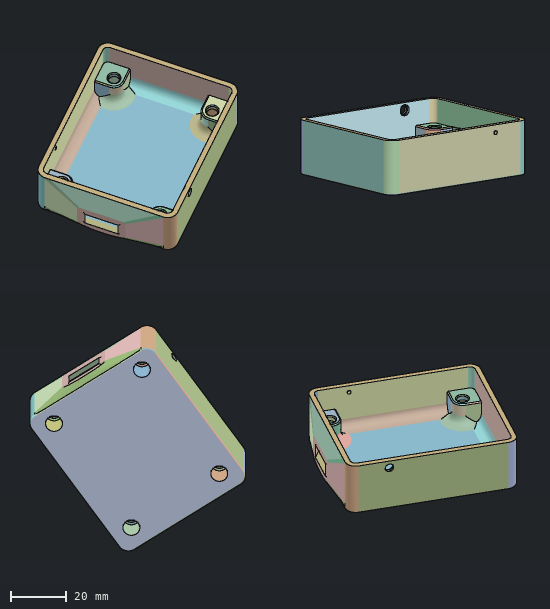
import cadquery as cq
import math

box_width = 53.75
box_height = 20.0
overall_length = 66.3
nose_depth = 2.45
box_back = overall_length / 2
nose_front = -overall_length / 2
box_front = nose_front + nose_depth

wall = 2.0
outer_corner_radius = 4.0
inner_corner_radius = outer_corner_radius - wall
floor_fillet = 4.0
bottom_edge_fillet = 0.45
front_undercut = 0.45

boss_radius = 4.0
boss_top = 11.0
boss_top_chamfer = 0.45
hole_inset = 7.9
hole_inset_at_nose = 6.5
boss_hole_x = box_width / 2 - hole_inset
back_hole_y = box_back - hole_inset
front_hole_y = box_front + hole_inset_at_nose
screw_radius = 4.2 / 2
screw_chamfer = 0.4
head_radius = 6.0 / 2
head_seat_thickness = 2.0

belly_steps = 16

root_half_width = box_width / 2 - outer_corner_radius
root_side_bottom = 2.3
root_belly_drop = root_side_bottom - bottom_edge_fillet
root_bevel = (2.05, 0.85)
root_squareness = 7

tip_half_width = 9.3
tip_top = 12.25
tip_side_bottom = 3.45
tip_belly_drop = 2.05
tip_bevel = (0.8, 0.65)
tip_squareness = 2

slot_width = 12.8
slot_bottom = 4.1
slot_top = 9.4
slot_side_flare = 4.3
slot_top_flare = 1.7
slot_bottom_flare = 0.2

cross_hole_y = -15.25
cross_hole_z = 17.15
small_hole_diameter = 1.4
large_hole_diameter = 3.1
recess_diameter = 4.0
recess_depth = 1.0


def upright_block(width, front, back, radius, bottom, top):
    """Block centred on X with rounded vertical edges."""
    return (
        cq.Workplane("XY", origin=(0, (front + back) / 2, bottom))
        .rect(width, back - front)
        .extrude(top - bottom)
        .edges("|Z")
        .fillet(radius)
    )


def outer_box():
    box = upright_block(box_width, box_front, box_back, outer_corner_radius, 0, box_height)
    return box.faces("<Z").edges().fillet(bottom_edge_fillet)


def nose_outline(y, half_width, top, side_bottom, bevel, belly_drop, squareness):
    """Outline with bevelled top corners and a superelliptic belly."""
    power = 2 / squareness
    belly = []
    for i in range(1, belly_steps):
        angle = math.pi * i / belly_steps
        across = math.copysign(abs(math.cos(angle)) ** power, math.cos(angle))
        down = math.sin(angle) ** power
        belly.append((-half_width * across, side_bottom - belly_drop * down))
    belly.append((half_width, side_bottom))
    return (
        cq.Workplane("XZ", origin=(0, y, 0))
        .moveTo(half_width, side_bottom)
        .lineTo(half_width, top - bevel[1])
        .lineTo(half_width - bevel[0], top)
        .lineTo(bevel[0] - half_width, top)
        .lineTo(-half_width, top - bevel[1])
        .lineTo(-half_width, side_bottom)
        .spline(belly, includeCurrent=True)
        .close()
        .val()
    )


def nose():
    root = nose_outline(
        box_front, root_half_width, box_height, root_side_bottom,
        root_bevel, root_belly_drop, root_squareness,
    )
    tip = nose_outline(
        nose_front, tip_half_width, tip_top, tip_side_bottom,
        tip_bevel, tip_belly_drop, tip_squareness,
    )
    return cq.Workplane(cq.Solid.makeLoft([root, tip], True))


def boss(x, y):
    """Corner block plus a flared skirt around its hole; runs on into the walls."""
    corner_x = math.copysign(box_width / 2, x)
    corner_y = box_back if y > 0 else box_front
    block = (
        cq.Workplane("XY", origin=(corner_x, corner_y, wall))
        .rect(2 * (abs(corner_x - x) + boss_radius), 2 * (abs(corner_y - y) + boss_radius))
        .extrude(boss_top - wall)
        .edges("|Z")
        .fillet(boss_radius)
        .faces(">Z")
        .edges()
        .chamfer(boss_top_chamfer)
    )
    skirt_radius = boss_radius + floor_fillet
    arc_offset = floor_fillet * (1 - math.sqrt(0.5))
    skirt = (
        cq.Workplane("XZ")
        .moveTo(0, 0)
        .lineTo(skirt_radius, 0)
        .threePointArc((boss_radius + arc_offset, arc_offset), (boss_radius, floor_fillet))
        .lineTo(0, floor_fillet)
        .close()
        .revolve(360, (0, 0, 0), (0, 1, 0))
        .translate((x, y, wall))
    )
    return block.union(skirt)


def cavity():
    """Inner space without the bosses, with a rounded floor edge."""
    width = box_width - 2 * wall
    front = box_front + wall
    back = box_back - wall
    upper = upright_block(width, front, back, inner_corner_radius, boss_top, box_height)
    lower = upright_block(width, front - front_undercut, back, inner_corner_radius, wall, boss_top)
    return upper.union(lower.faces("<Z").edges().fillet(floor_fillet))


def boss_hole(x, y):
    """Chamfered screw hole with a head recess from below."""
    seat = boss_top - head_seat_thickness
    profile = [
        (0, 0),
        (head_radius, 0),
        (head_radius, seat),
        (screw_radius, seat),
        (screw_radius, boss_top - screw_chamfer),
        (screw_radius + screw_chamfer, boss_top),
        (0, boss_top),
    ]
    hole = cq.Workplane("XZ").polyline(profile).close().revolve(360, (0, 0, 0), (0, 1, 0))
    return hole.translate((x, y, 0))


def nose_slot():
    """Opening that flares through the nose, then runs straight through the wall."""
    inner_width = slot_width + 2 * slot_side_flare
    inner_bottom = slot_bottom - slot_bottom_flare
    inner_top = slot_top + slot_top_flare

    def opening(y, width, bottom, top):
        return cq.Workplane("XZ", origin=(0, y, (bottom + top) / 2)).rect(width, top - bottom)

    outer = opening(nose_front, slot_width, slot_bottom, slot_top)
    inner = opening(box_front, inner_width, inner_bottom, inner_top)
    flare = cq.Solid.makeLoft([outer.wires().val(), inner.wires().val()], True)
    return inner.extrude(-wall).union(cq.Workplane(flare))


def cross_hole(diameter, start_x, length):
    return (
        cq.Workplane("YZ", origin=(start_x, cross_hole_y, cross_hole_z))
        .circle(diameter / 2)
        .extrude(length)
    )


boss_centers = [(x, y) for x in (-boss_hole_x, boss_hole_x) for y in (front_hole_y, back_hole_y)]

space = cavity()
for x, y in boss_centers:
    space = space.cut(boss(x, y))

body = outer_box().union(nose()).cut(space).cut(nose_slot())
for x, y in boss_centers:
    body = body.cut(boss_hole(x, y))

inner_x = box_width / 2 - wall
body = body.cut(cross_hole(small_hole_diameter, -box_width / 2, wall))
body = body.cut(cross_hole(large_hole_diameter, inner_x, wall))
body = body.cut(cross_hole(recess_diameter, inner_x, recess_depth))

result = body